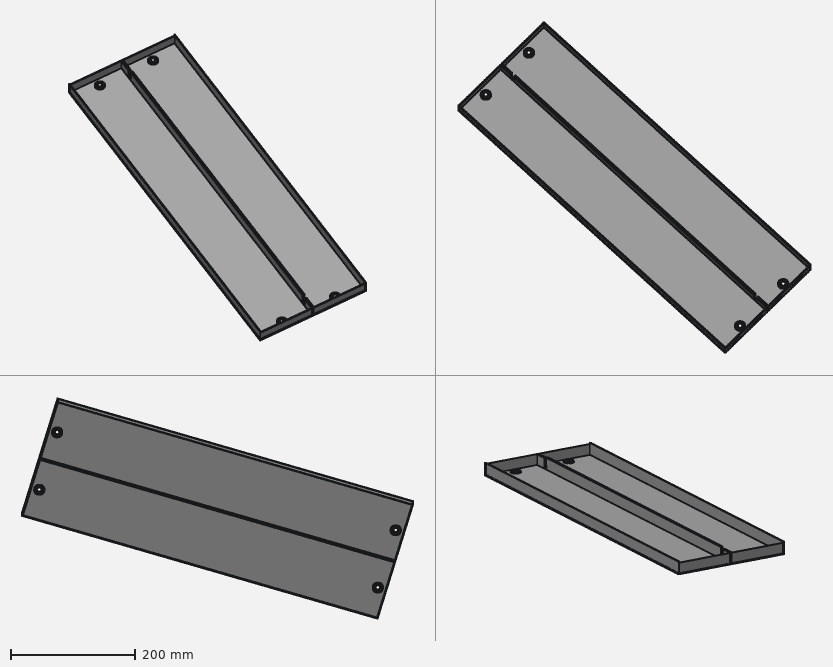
import cadquery as cq

length = 598.0
total_width = 199.0
side_height = 21.5
end_height = 19.5
sheet = 1.5
tray_gap = 1.0
tray_width = (total_width - tray_gap) / 2

tab_length = 24.0
slit_width = 6.0
slit_floor = 3 * sheet

seat_inset = 14.4
seat_height = 4.0
seat_base_radius = 8.6
seat_top_radius = 7.25
screw_hole_radius = 3.5
countersink_depth = 0.75
countersink_radius = screw_hole_radius + countersink_depth


def make_shell():
    """Open tray with its inner wall on Y = 0 and its end walls lower than its side walls."""
    shell = cq.Workplane("XY").box(length, tray_width, side_height, centered=(True, False, False))
    cavity = (
        cq.Workplane("XY", origin=(0, sheet, sheet))
        .box(length - 2 * sheet, tray_width - 2 * sheet, side_height, centered=(True, False, False))
    )
    above_ends = (
        cq.Workplane("XY", origin=(0, sheet, end_height))
        .box(length, tray_width - 2 * sheet, side_height, centered=(True, False, False))
    )
    return shell.cut(cavity).cut(above_ends)


def make_wall_cut(distance, width, floor):
    """Cutters through the inner wall at both ends, starting at a distance from the end."""
    cut_x = length / 2 - distance - width / 2
    return (
        cq.Workplane("XY", origin=(0, 0, floor))
        .pushPoints([(-cut_x, 0), (cut_x, 0)])
        .box(width, sheet, side_height, centered=(True, False, False))
    )


def make_seat():
    """Pressed-up conical seat of sheet thickness, centred on the Z axis and countersunk on top."""
    underside = seat_height - sheet
    profile = [
        (screw_hole_radius, underside),
        (seat_top_radius - sheet, underside),
        (seat_base_radius - sheet, 0),
        (seat_base_radius, 0),
        (seat_base_radius, sheet),
        (seat_top_radius, seat_height),
        (countersink_radius, seat_height),
        (screw_hole_radius, seat_height - countersink_depth),
    ]
    return cq.Workplane("XZ").polyline(profile).close().revolve(360, (0, 0, 0), (0, 1, 0))


def make_tray():
    """Complete tray on the +Y side, its inner wall on Y = 0."""
    tray = make_shell()
    tray = tray.cut(make_wall_cut(0, tab_length, end_height))
    tray = tray.cut(make_wall_cut(tab_length, slit_width, slit_floor))
    seat_x = length / 2 - seat_inset
    for x in (-seat_x, seat_x):
        opening = cq.Workplane("XY", origin=(x, tray_width / 2, 0)).circle(seat_base_radius).extrude(sheet)
        tray = tray.cut(opening).union(make_seat().translate((x, tray_width / 2, 0)))
    return tray


trays = []
for angle in (0, 180):
    tray = make_tray().translate((0, tray_gap / 2, 0)).rotate((0, 0, 0), (0, 0, 1), angle)
    trays.append(tray.val())

result = cq.Compound.makeCompound(trays)